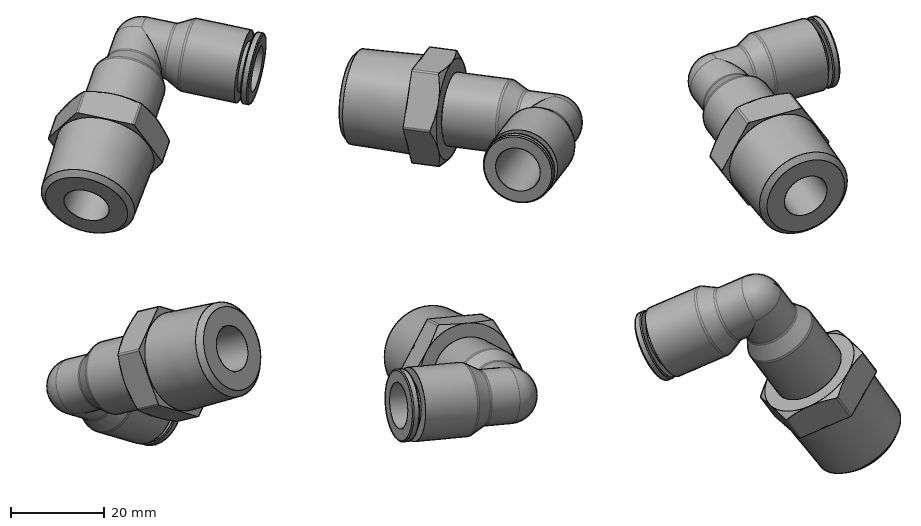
import cadquery as cq
import math


elbow_radius = 6.1
sleeve_radius = 8.0
cone_start = 6.7
cone_end = 10.35
cone_blend = 1.05
sleeve_end = 22.7
bore_radius = 5.0

collar_neck_radius = 5.6
collar_radius = 7.85
collar_start = 23.95
collar_end = 25.6
collar_chamfer = 0.25

hex_neck_radius = 7.25
hex_start = 23.0
hex_end = 29.95
across_flats = 22.0
hex_corner_fillet = 0.55
hex_chamfer_angle = 30.0

thread_root_radius = 10.8
thread_tip_radius = 10.35
thread_face_radius = 9.15
thread_chamfer_start = 44.25
leg_end = 45.45


def cylinder(start, end, radius):
    """Round bar along -Y, between two distances from the elbow corner."""
    return cq.Workplane("XZ").workplane(offset=start).circle(radius).extrude(end - start)


def turned(points):
    """Solid turned about the Y axis from (radius, distance along -Y) points."""
    profile = [(radius, -distance) for radius, distance in points]
    return cq.Workplane("XY").polyline(profile).close().revolve(360, (0, 0), (0, 1))


def along_x(body):
    """Swing a body from the -Y leg onto the +X leg."""
    return body.rotate((0, 0, 0), (0, 0, 1), 90)


def sleeve_leg():
    """Elbow tube that widens through a blended cone into the sleeve."""
    body = turned([
        (0, 0),
        (elbow_radius, 0),
        (elbow_radius, cone_start),
        (sleeve_radius, cone_end),
        (sleeve_radius, sleeve_end),
        (0, sleeve_end),
    ])
    cone_edges = cq.selectors.BoxSelector(
        (-sleeve_radius, -cone_end - cone_blend, -sleeve_radius),
        (sleeve_radius, -cone_start + cone_blend, sleeve_radius),
    )
    return body.edges("%CIRCLE").edges(cone_edges).fillet(cone_blend)


def collar():
    neck = cylinder(sleeve_end, collar_start, collar_neck_radius)
    flange = cylinder(collar_start, collar_end, collar_radius).edges().chamfer(collar_chamfer)
    return along_x(neck.union(flange))


def hexagon():
    """Hexagon with a corner on the X axis and its sleeve side chamfered by a cone."""
    corner_radius = across_flats / math.sqrt(3)
    flat_radius = across_flats / 2
    prism = (
        cq.Workplane("XZ")
        .workplane(offset=hex_start)
        .polygon(6, 2 * corner_radius)
        .extrude(hex_end - hex_start)
        .edges("|Y")
        .fillet(hex_corner_fillet)
    )
    chamfer_depth = (corner_radius - flat_radius) * math.tan(math.radians(hex_chamfer_angle))
    envelope = turned([
        (0, hex_start),
        (flat_radius, hex_start),
        (corner_radius, hex_start + chamfer_depth),
        (corner_radius, hex_end),
        (0, hex_end),
    ])
    return prism.intersect(envelope)


def thread_body():
    return turned([
        (0, hex_end),
        (thread_root_radius, hex_end),
        (thread_tip_radius, thread_chamfer_start),
        (thread_face_radius, leg_end),
        (0, leg_end),
    ])


def bore():
    """Passage through both legs, rounded by a ball at the corner."""
    corner = cq.Workplane("XY").sphere(bore_radius)
    threaded_leg = cylinder(0, leg_end, bore_radius)
    tube_leg = along_x(cylinder(0, collar_end, bore_radius))
    return corner.union(threaded_leg).union(tube_leg)


leg = sleeve_leg()
outside = (
    cq.Workplane("XY").sphere(elbow_radius)
    .union(leg)
    .union(along_x(leg))
    .union(collar())
    .union(cylinder(sleeve_end, hex_start, hex_neck_radius))
    .union(hexagon())
    .union(thread_body())
)

result = outside.cut(bore())